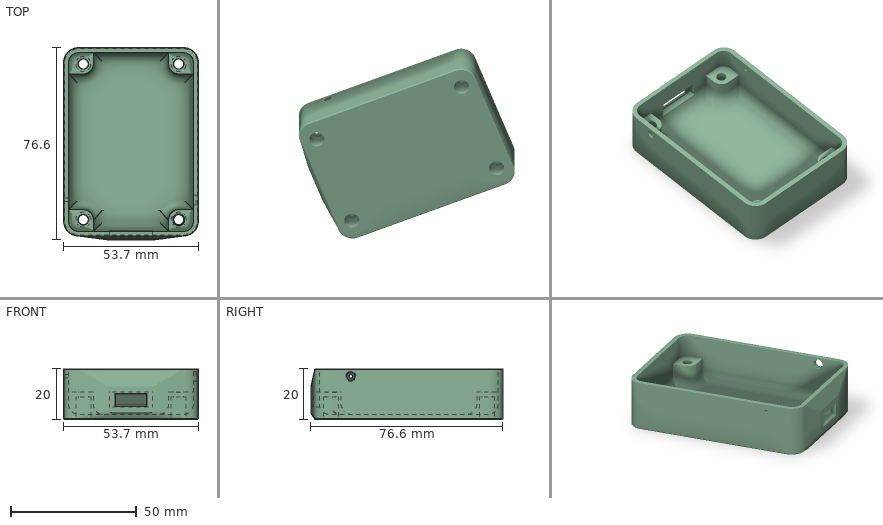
import cadquery as cq

WIDTH = 53.72
LENGTH = 75.0
HEIGHT = 20.0
CORNER_RADIUS = 6.0
WALL = 2.0
FRONT_WALL = 1.8
FLOOR = 2.0
FLOOR_FILLET = 4.0
BOTTOM_CHAMFER = 0.4

POST_X = 19.0
POST_Y = 31.0
POST_RADIUS = 4.0
POST_TOP = 11.0
SCREW_HOLE = 4.0
SCREW_HEAD = 6.0
SCREW_SEAT = 2.0
LEAD_IN = 0.35
WEDGE_START = 0.4
WEDGE_REACH = 3.6
WEDGE_TIP = 0.6

BULGE_DEPTH = 1.58
PANEL_WIDTH = 18.0
PANEL_BOTTOM = 2.5
PANEL_TOP = 13.0
BULGE_UPPER_FILLET = 2.0
BULGE_LOWER_FILLET = 3.0

PANEL_SKIN = 1.15
MOUTH_WIDTH = 12.7
MOUTH_BOTTOM = 5.15
MOUTH_TOP = 10.35
THROAT_WIDTH = 12.2
THROAT_BOTTOM = 5.8
THROAT_TOP = 10.1

CONNECTOR_POCKET_WIDTH = 17.0
CONNECTOR_POCKET_BOTTOM = 4.85
CONNECTOR_POCKET_TOP = 11.0

SIDE_HOLE_FROM_FRONT = 14.35
SIDE_HOLE_Z = 17.15
PINHOLE = 1.4
LAMP_HOLE = 3.3
LAMP_FLANGE = 4.0
LAMP_FLANGE_DEPTH = 1.0

FRONT_Y = -LENGTH / 2
INNER_X = WIDTH / 2 - WALL
INNER_BACK_Y = LENGTH / 2 - WALL
INNER_FRONT_Y = FRONT_Y + FRONT_WALL
INNER_LENGTH = INNER_BACK_Y - INNER_FRONT_Y
INNER_MID_Y = (INNER_BACK_Y + INNER_FRONT_Y) / 2
POST_FACE_X = POST_X - POST_RADIUS
POST_FACE_Y = POST_Y - POST_RADIUS
SIDES = (-1, 1)


def make_shell():
    """Rounded block with a small chamfer around its underside."""
    block = cq.Workplane("XY").box(WIDTH, LENGTH, HEIGHT, centered=(True, True, False))
    return block.edges("|Z").fillet(CORNER_RADIUS).faces("<Z").edges().chamfer(BOTTOM_CHAMFER)


def make_cavity():
    """Inner space: full rectangle above the posts, notched around them below."""
    upper = (
        cq.Workplane("XY", origin=(0, INNER_MID_Y, POST_TOP))
        .rect(2 * INNER_X, INNER_LENGTH)
        .extrude(HEIGHT - POST_TOP)
        .edges("|Z")
        .fillet(CORNER_RADIUS - WALL)
    )
    lower = (
        cq.Workplane("XY", origin=(0, INNER_MID_Y, FLOOR))
        .rect(2 * INNER_X, INNER_LENGTH)
        .extrude(POST_TOP - FLOOR)
    )
    for side_x in SIDES:
        for side_y in SIDES:
            lower = lower.cut(make_post(side_x, side_y))
    lower = lower.faces("<Z").edges().fillet(FLOOR_FILLET)
    return upper.union(lower)


def make_post(side_x, side_y):
    """Square corner post, rounded about the screw axis on its inner edge."""
    size_x = INNER_X - POST_FACE_X
    wall_y = INNER_BACK_Y if side_y > 0 else -INNER_FRONT_Y
    size_y = wall_y - POST_FACE_Y
    post = cq.Workplane("XY").box(size_x, size_y, POST_TOP, centered=(True, True, False))
    post = post.translate((side_x * (POST_FACE_X + size_x / 2), side_y * (POST_FACE_Y + size_y / 2), 0))
    inner_edge = (">" if side_x < 0 else "<") + "X and " + (">" if side_y < 0 else "<") + "Y"
    return post.edges("|Z").edges(inner_edge).fillet(POST_RADIUS)


def make_fillet_wedge():
    """Extension of the straight floor fillet past the screw axis of the front right post."""
    fillet_end_x = POST_FACE_X - FLOOR_FILLET
    start_y = -POST_Y - WEDGE_START
    end_y = -POST_Y + WEDGE_REACH
    plan = (
        cq.Workplane("XY", origin=(0, 0, FLOOR))
        .moveTo(POST_FACE_X, start_y)
        .lineTo(fillet_end_x, start_y)
        .lineTo(fillet_end_x, end_y)
        .lineTo(fillet_end_x + WEDGE_TIP, end_y)
        .close()
        .extrude(FLOOR_FILLET)
    )
    hollow = (
        cq.Workplane("XZ", origin=(fillet_end_x, 0, FLOOR + FLOOR_FILLET))
        .circle(FLOOR_FILLET)
        .extrude(LENGTH / 2)
    )
    return plan.cut(hollow)


def make_frustum(base_y, base, tip_y, tip):
    """Solid between two upright rectangles, each given as (width, bottom, top)."""
    base_width, base_bottom, base_top = base
    tip_width, tip_bottom, tip_top = tip
    base_mid = (base_bottom + base_top) / 2
    tip_mid = (tip_bottom + tip_top) / 2
    return (
        cq.Workplane("XZ", origin=(0, base_y, 0))
        .center(0, base_mid)
        .rect(base_width, base_top - base_bottom)
        .workplane(offset=base_y - tip_y)
        .center(0, tip_mid - base_mid)
        .rect(tip_width, tip_top - tip_bottom)
        .loft(ruled=True)
    )


def make_bulge():
    """Frustum over the flat of the front wall, with rounded slanted edges."""
    base = (WIDTH - 2 * CORNER_RADIUS, 0, HEIGHT)
    panel = (PANEL_WIDTH, PANEL_BOTTOM, PANEL_TOP)
    bulge = make_frustum(FRONT_Y, base, FRONT_Y - BULGE_DEPTH, panel)
    slanted = "not(#Y)"
    bulge = bulge.edges(slanted).edges("<Z").fillet(BULGE_LOWER_FILLET)
    return bulge.edges(slanted).edges(">Z").fillet(BULGE_UPPER_FILLET)


def make_connector_opening():
    """Funnel through the panel skin, opening into a pocket from the inside."""
    throat = (THROAT_WIDTH, THROAT_BOTTOM, THROAT_TOP)
    mouth = (MOUTH_WIDTH, MOUTH_BOTTOM, MOUTH_TOP)
    pocket = (CONNECTOR_POCKET_WIDTH, CONNECTOR_POCKET_BOTTOM, CONNECTOR_POCKET_TOP)
    panel_y = FRONT_Y - BULGE_DEPTH
    skin_y = panel_y + PANEL_SKIN
    funnel = make_frustum(skin_y, throat, panel_y, mouth)
    recess = make_frustum(INNER_FRONT_Y + FLOOR_FILLET, pocket, skin_y, pocket)
    return funnel.union(recess)


def make_screw_hole(side_x, side_y):
    """Through hole with a deep head recess from below."""
    axis = cq.Workplane("XY").center(side_x * POST_X, side_y * POST_Y)
    hole = axis.circle(SCREW_HOLE / 2).extrude(POST_TOP)
    return hole.union(axis.circle(SCREW_HEAD / 2).extrude(POST_TOP - SCREW_SEAT))


def make_lead_in():
    """Countersink at the top of the front right screw hole."""
    return (
        cq.Workplane("XY", origin=(POST_X, -POST_Y, POST_TOP))
        .circle(SCREW_HOLE / 2 + LEAD_IN)
        .workplane(offset=-LEAD_IN)
        .circle(SCREW_HOLE / 2)
        .loft()
    )


def make_side_holes():
    """Pinhole in the -X wall facing a lamp hole in the +X wall, flanged on the inside."""
    axis_y = FRONT_Y + SIDE_HOLE_FROM_FRONT
    left = cq.Workplane("YZ", origin=(-WIDTH / 2, axis_y, SIDE_HOLE_Z))
    right = cq.Workplane("YZ", origin=(INNER_X, axis_y, SIDE_HOLE_Z))
    pinhole = left.circle(PINHOLE / 2).extrude(WALL)
    lamp_hole = right.circle(LAMP_HOLE / 2).extrude(WALL)
    flange = right.circle(LAMP_FLANGE / 2).extrude(LAMP_FLANGE_DEPTH)
    return pinhole.union(lamp_hole).union(flange)


case = make_shell().union(make_bulge()).cut(make_cavity())

wedge = make_fillet_wedge()
case = case.union(wedge).union(wedge.mirror("YZ"))

case = case.cut(make_connector_opening()).cut(make_lead_in())
for side_x in SIDES:
    for side_y in SIDES:
        case = case.cut(make_screw_hole(side_x, side_y))

result = case.cut(make_side_holes())